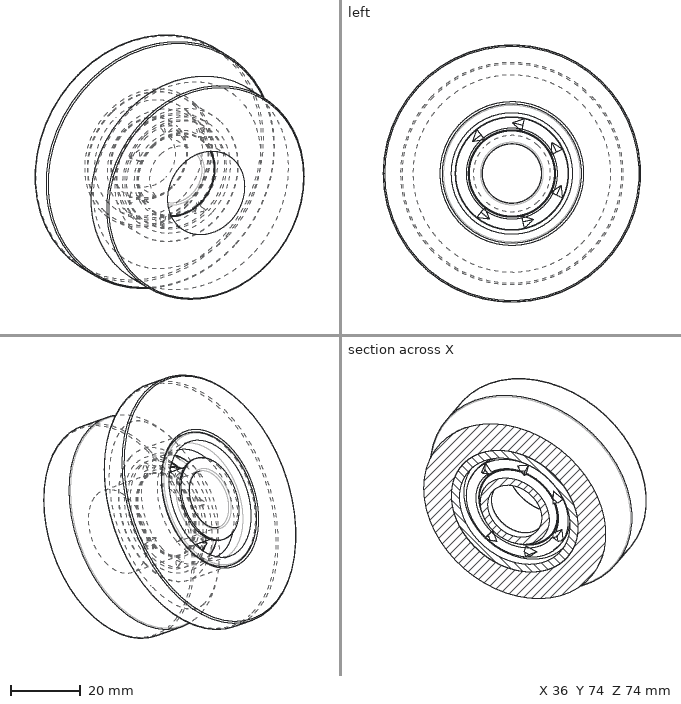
import cadquery as cq
import math


wheel_width = 36.0
flange_radius = 74 / 2
hub_radius = 64.0 / 2
rim_chamfer = 0.45
hub_edge_chamfer = 0.3
groove_radius = 10.3
groove_center_x = 17.8
groove_center_radius = 38.7
seat_chamfer = 0.7

bearing_width = 17.5
bearing_radius = 40.0 / 2
outer_land_radius = 34.9 / 2
outer_shoulder_radius = 32.6 / 2
inner_land_radius = 24.65 / 2
inner_waist_radius = 22.05 / 2
bore_radius = 17 / 2
rim_fillet = 0.4
bore_fillet = 0.5
row_depth = 3.2
ball_count = 7

ball_radius = (outer_land_radius - inner_waist_radius) / 2
pitch_radius = (outer_land_radius + inner_waist_radius) / 2

cage_outer_radius = 32.35 / 2
cage_bore_radius = 25.0 / 2
cage_bore_chamfer = 0.6
cage_thickness = 1.2
cage_face_x = bearing_width - cage_thickness
prong_length = 3.3
prong_reach = 3.1
ball_spacing = 360 / ball_count
first_prong_angle = -90 + ball_spacing
prong_count = ball_count - 1


def revolve_about_x(profile):
    """Turn a closed profile, drawn as (x, radius), into a solid about the X axis."""
    return profile.close().revolve(360, (0, 0, 0), (1, 0, 0))


def arc_height(radius, offset):
    """Distance from an arc's center to the arc along one axis, given the offset along the other."""
    return math.sqrt(radius**2 - offset**2)


def make_wheel():
    groove_start_radius = flange_radius - rim_chamfer
    groove_start_x = groove_center_x - arc_height(groove_radius, groove_center_radius - groove_start_radius)
    groove_end_radius = hub_radius - hub_edge_chamfer
    groove_end_x = groove_center_x + arc_height(groove_radius, groove_center_radius - groove_end_radius)
    profile = (
        cq.Workplane("XY")
        .moveTo(0, bearing_radius + seat_chamfer)
        .lineTo(0, flange_radius - rim_chamfer)
        .lineTo(rim_chamfer, flange_radius)
        .lineTo(groove_start_x - rim_chamfer, flange_radius)
        .lineTo(groove_start_x, groove_start_radius)
        .threePointArc(
            (groove_center_x, groove_center_radius - groove_radius),
            (groove_end_x, groove_end_radius),
        )
        .lineTo(groove_end_x + hub_edge_chamfer, hub_radius)
        .lineTo(wheel_width - rim_chamfer, hub_radius)
        .lineTo(wheel_width, hub_radius - rim_chamfer)
        .lineTo(wheel_width, cage_bore_radius)
        .lineTo(bearing_width, cage_bore_radius)
        .lineTo(bearing_width, bearing_radius)
        .lineTo(seat_chamfer, bearing_radius)
    )
    return revolve_about_x(profile)


def race_middle(land_offset):
    """Offsets along X and radially from a ball center to a midway point on its race."""
    rise = (ball_radius + land_offset) / 2
    return arc_height(ball_radius, rise), rise


def make_outer_ring():
    shoulder_rise = outer_shoulder_radius - pitch_radius
    race_length = arc_height(ball_radius, shoulder_rise)
    middle_x, middle_rise = race_middle(shoulder_rise)
    far_row = bearing_width - row_depth
    profile = (
        cq.Workplane("XY")
        .moveTo(0, outer_land_radius)
        .lineTo(row_depth, outer_land_radius)
        .threePointArc(
            (row_depth + middle_x, pitch_radius + middle_rise),
            (row_depth + race_length, outer_shoulder_radius),
        )
        .lineTo(far_row - race_length, outer_shoulder_radius)
        .threePointArc(
            (far_row - middle_x, pitch_radius + middle_rise),
            (far_row, outer_land_radius),
        )
        .lineTo(bearing_width, outer_land_radius)
        .lineTo(bearing_width, bearing_radius)
        .lineTo(0, bearing_radius)
    )
    ring = revolve_about_x(profile)
    return ring.faces("<X or >X").edges(cq.selectors.RadiusNthSelector(-1)).fillet(rim_fillet)


def make_inner_ring():
    land_drop = pitch_radius - inner_land_radius
    race_length = arc_height(ball_radius, land_drop)
    middle_x, middle_drop = race_middle(land_drop)
    far_row = bearing_width - row_depth
    profile = (
        cq.Workplane("XY")
        .moveTo(0, bore_radius)
        .lineTo(0, inner_land_radius)
        .lineTo(row_depth - race_length, inner_land_radius)
        .threePointArc(
            (row_depth - middle_x, pitch_radius - middle_drop),
            (row_depth, inner_waist_radius),
        )
        .lineTo(far_row, inner_waist_radius)
        .threePointArc(
            (far_row + middle_x, pitch_radius - middle_drop),
            (far_row + race_length, inner_land_radius),
        )
        .lineTo(bearing_width, inner_land_radius)
        .lineTo(bearing_width, bore_radius)
    )
    ring = revolve_about_x(profile)
    return ring.faces("<X or >X").edges(cq.selectors.RadiusNthSelector(0)).fillet(bore_fillet)


def make_prong(angle):
    """Three-sided pyramid on the cage face, with its apex over the ball pitch circle."""
    inner = cq.Vector(cage_face_x, 0, cage_bore_radius)
    outer = cq.Vector(cage_face_x, 0, cage_outer_radius)
    tip = cq.Vector(cage_face_x, prong_reach, pitch_radius)
    apex = cq.Vector(cage_face_x - prong_length, 0, pitch_radius)
    triangles = [(inner, outer, tip), (inner, outer, apex), (outer, tip, apex), (tip, inner, apex)]
    faces = [cq.Face.makeFromWires(cq.Wire.makePolygon(corners, close=True)) for corners in triangles]
    prong = cq.Solid.makeSolid(cq.Shell.makeShell(faces))
    return prong.rotate(cq.Vector(0, 0, 0), cq.Vector(1, 0, 0), angle)


def make_cage():
    profile = (
        cq.Workplane("XY")
        .moveTo(cage_face_x, cage_bore_radius + cage_bore_chamfer)
        .lineTo(cage_face_x, cage_outer_radius)
        .lineTo(bearing_width, cage_outer_radius)
        .lineTo(bearing_width, cage_bore_radius)
        .lineTo(cage_face_x + cage_bore_chamfer, cage_bore_radius)
    )
    cage = revolve_about_x(profile)
    for index in range(prong_count):
        cage = cage.union(cq.Workplane(make_prong(first_prong_angle + index * ball_spacing)))
    return cage


wheel = make_wheel()
outer_ring = make_outer_ring()
inner_ring = make_inner_ring()
cage = make_cage()

result = cq.Compound.makeCompound([wheel.val(), outer_ring.val(), inner_ring.val(), cage.val()])